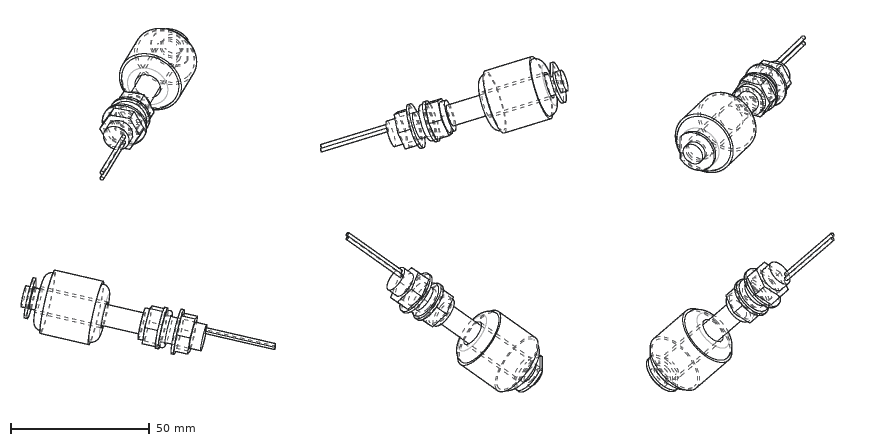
import cadquery as cq


rod_diameter = 7.9
collar_diameter = 11.7
collar_station = 44.05
hex_station = 46.0
hex_length = 4.8
hex_corner_diameter = 15.2
flange_station = hex_station + hex_length
flange_thickness = 1.1
flange_diameter = 15.2
shank_station = flange_station + flange_thickness
shank_diameter = 9.8
shank_end_station = 67.1
wire_diameter = 1.4
wire_end_station = 92.9
wire_offset_x = 2.9
wire_pitch = 2.4

float_station = 5.8
float_length = 24.35
float_diameter = 23.6
float_end_diameter = 21.65
float_end_length = 3.2
float_bore_diameter = 9.7

clip_station = 2.0
clip_thickness = 1.1
clip_diameter = 15.2
clip_flat_x = 6.2

seal_section_diameter = 2.0

nut_station = 56.9
nut_flange_diameter = 16.6
nut_flange_thickness = 1.0
nut_hex_length = 5.0


def plane_at(station):
    """Plane across the axis, facing -Y, with local x along X and local y along Z."""
    return cq.Workplane("XZ", origin=(0, -station, 0))


def disc(station, length, diameter):
    return plane_at(station).circle(diameter / 2).extrude(length)


def hexagon(station, length):
    """Hexagonal prism with two corners on the X axis."""
    return plane_at(station).polygon(6, hex_corner_diameter).extrude(length)


def make_stem():
    rod = disc(0, collar_station, rod_diameter)
    collar = disc(collar_station, hex_station - collar_station, collar_diameter)
    head = hexagon(hex_station, hex_length)
    flange = disc(flange_station, flange_thickness, flange_diameter)
    shank = disc(shank_station, shank_end_station - shank_station, shank_diameter)
    wires = (
        plane_at(shank_end_station)
        .pushPoints([(wire_offset_x, side * wire_pitch / 2) for side in (-1, 1)])
        .circle(wire_diameter / 2)
        .extrude(wire_end_station - shank_end_station)
    )
    return rod.union(collar).union(head).union(flange).union(shank).union(wires)


def make_float():
    core = disc(float_station, float_length, float_end_diameter)
    core = core.faces("<Y or >Y").edges().fillet(float_end_length)
    barrel = disc(float_station + float_end_length, float_length - 2 * float_end_length, float_diameter)
    bore = disc(float_station, float_length, float_bore_diameter)
    return core.union(barrel).cut(bore)


def make_clip():
    plate = disc(clip_station, clip_thickness, clip_diameter)
    rod_hole = disc(clip_station, clip_thickness, rod_diameter)
    beyond_flat = (
        plane_at(clip_station)
        .center(clip_flat_x + clip_diameter / 2, 0)
        .rect(clip_diameter, clip_diameter)
        .extrude(clip_thickness)
    )
    return plate.cut(rod_hole).cut(beyond_flat)


def make_seal():
    section_radius = seal_section_diameter / 2
    ring_radius = shank_diameter / 2 + section_radius
    return (
        cq.Workplane("XY")
        .center(ring_radius, -(shank_station + section_radius))
        .circle(section_radius)
        .revolve(360, (-ring_radius, 0), (-ring_radius, 1))
    )


def make_nut():
    flange = disc(nut_station, nut_flange_thickness, nut_flange_diameter)
    body = hexagon(nut_station + nut_flange_thickness, nut_hex_length)
    hole = disc(nut_station, nut_flange_thickness + nut_hex_length, shank_diameter)
    return flange.union(body).cut(hole)


stem = make_stem()
float_body = make_float()
clip = make_clip()
seal = make_seal()
nut = make_nut()

result = cq.Compound.makeCompound(
    [stem.val(), float_body.val(), clip.val(), seal.val(), nut.val()]
)